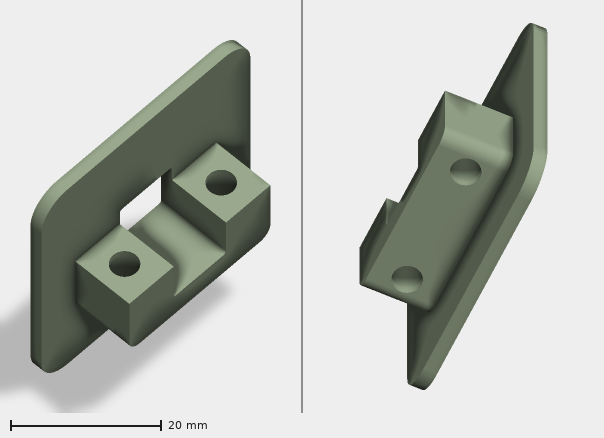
import cadquery as cq

plate_size = 40.0
plate_thickness = 2.0
plate_corner_radius = 5.0

window_size = 10.0
window_corner_radius = 0.5

block_depth = 10.0
block_width = 27.0
block_top = 2.0
block_bottom = -9.0
block_edge_radius = 2.0

screw_hole_diameter = 4.2
screw_hole_spacing = 18.5

total_depth = plate_thickness + block_depth


def make_plate():
    """Face plate with rounded corners, from X = 0."""
    plate = cq.Workplane("YZ").rect(plate_size, plate_size).extrude(plate_thickness)
    return plate.edges("|X").fillet(plate_corner_radius)


def make_block():
    """Block on the back of the plate, with its two lower long edges rounded."""
    block_height = block_top - block_bottom
    block = (
        cq.Workplane("YZ", origin=(plate_thickness, 0, (block_top + block_bottom) / 2))
        .rect(block_width, block_height)
        .extrude(block_depth)
    )
    return block.faces("<Z").edges("|X").fillet(block_edge_radius)


def make_window():
    """Cutter for the window; it reaches above the block, so the channel is open on top."""
    window = cq.Workplane("YZ").rect(window_size, window_size).extrude(total_depth)
    return window.edges("|X").fillet(window_corner_radius)


def make_screw_holes():
    """Cutters for the vertical screw holes, halfway along the block's depth."""
    hole_x = plate_thickness + block_depth / 2
    return (
        cq.Workplane("XY", origin=(hole_x, 0, block_bottom))
        .pushPoints([(0, side * screw_hole_spacing / 2) for side in (-1, 1)])
        .circle(screw_hole_diameter / 2)
        .extrude(block_top - block_bottom)
    )


result = make_plate().union(make_block()).cut(make_window()).cut(make_screw_holes())